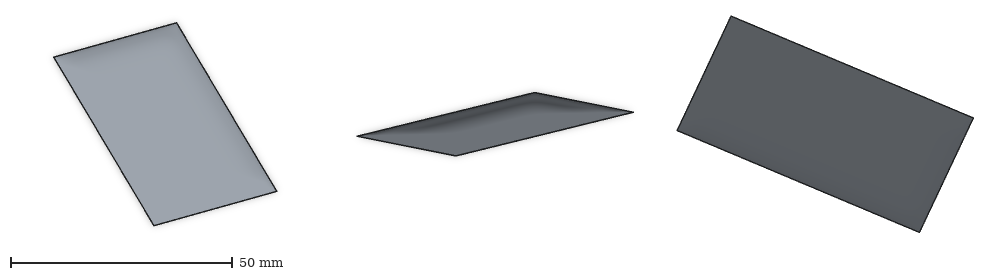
import cadquery as cq

length = 60.0
width = 30.0
thickness = 0.1

result = cq.Workplane("XY").box(length, width, thickness, centered=(True, True, False))